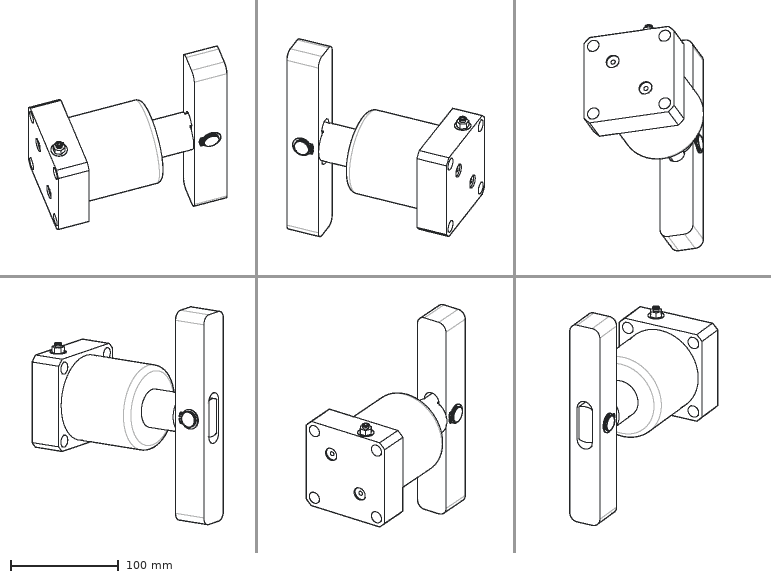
import cadquery as cq
import math


flange_width = 88.0
flange_depth = 30.0
flange_corner_diameter = 116.8
barrel_diameter = 80.0
barrel_end_y = 105.0
barrel_edge_radius = 5.0
mount_hole_diameter = 11.2
mount_hole_offset = 34.8
port_offset = 16.0
port_seat_diameter = 12.5
port_seat_depth = 1.5
port_hole_diameter = 4.0
port_hole_depth = 12.0
drill_point_angle = 118.0

valve_x = port_offset
valve_y = 10.0
valve_seat_diameter = 15.2
valve_seat_depth = 0.5
valve_hex_flats = 10.0
valve_hex_exposed = 5.0
valve_hex_bevel = 0.2
valve_neck_diameter = 5.5
valve_neck_height = 2.2
valve_head_diameter = 6.8
valve_head_height = 1.0
valve_head_bevel = 0.5
valve_bore_diameter = 3.5
valve_bore_depth = 2.0

arm_length = 200.0
arm_width = 32.0
arm_end_y = 174.0
arm_start_y = arm_end_y - arm_width
arm_corner_radius = 8.0
slot_width = 16.0
slot_length = 48.0

rod_diameter = 36.0
rod_shoulder_y = arm_start_y - 1.2
tongue_width = 14.5
tongue_end_y = arm_end_y - 2.0

pin_y = arm_end_y - arm_width / 2
pin_diameter = 15.0
pin_length = 37.5
pin_bevel = 0.5

clip_thickness = 1.0
clip_bore_diameter = 14.0
clip_outer_diameter = 18.5
clip_offset = 0.5
clip_ear_reach = 11.2
clip_ear_width = 10.8
clip_gap = 1.8
clip_eye_diameter = 1.8
clip_eye_reach = 8.8
clip_eye_spacing = 7.2
clip_inner_x = arm_width / 2


def y_cylinder(diameter, start_y, end_y, x=0.0, z=0.0):
    """Cylinder along +Y from start_y to end_y."""
    plane = cq.Plane(origin=(x, start_y, z), xDir=(1, 0, 0), normal=(0, 1, 0))
    return cq.Workplane(plane).circle(diameter / 2).extrude(end_y - start_y)


def x_cylinder(diameter, length, y):
    """Cylinder along X, centred on X = 0, with its axis at Z = 0."""
    return cq.Workplane("YZ").center(y, 0).circle(diameter / 2).extrude(length / 2, both=True)


def make_port(x, z):
    """Cutter for an oil port: shallow seal seat and a drilled hole with a conical bottom."""
    hole_radius = port_hole_diameter / 2
    point_depth = hole_radius / math.tan(math.radians(drill_point_angle / 2))
    hole_profile = [
        (0, 0),
        (hole_radius, 0),
        (hole_radius, port_hole_depth),
        (0, port_hole_depth + point_depth),
    ]
    hole = cq.Workplane("XY").polyline(hole_profile).close().revolve(360, (0, 0, 0), (0, 1, 0))
    seat = y_cylinder(port_seat_diameter, 0, port_seat_depth)
    return hole.union(seat).translate((x, 0, z))


def make_housing():
    """Square flange with turned corners, round barrel, mounting holes, ports and valve seat."""
    flange = cq.Workplane("XY").box(flange_width, flange_depth, flange_width)
    flange = flange.translate((0, flange_depth / 2, 0))
    flange = flange.intersect(y_cylinder(flange_corner_diameter, 0, flange_depth))

    barrel = y_cylinder(barrel_diameter, flange_depth, barrel_end_y)
    barrel = barrel.faces(">Y").edges().fillet(barrel_edge_radius)
    housing = flange.union(barrel)

    for x_side in (-1, 1):
        for z_side in (-1, 1):
            hole_x = x_side * mount_hole_offset
            hole_z = z_side * mount_hole_offset
            housing = housing.cut(y_cylinder(mount_hole_diameter, 0, flange_depth, hole_x, hole_z))

    for side in (-1, 1):
        housing = housing.cut(make_port(side * port_offset, -side * port_offset))

    valve_seat = (
        cq.Workplane("XY", origin=(valve_x, valve_y, flange_width / 2))
        .circle(valve_seat_diameter / 2)
        .extrude(-valve_seat_depth)
    )
    return housing.cut(valve_seat)


def make_bleed_valve():
    """Hexagonal valve standing on its seat, with a grooved, bored nipple."""
    hex_height = valve_seat_depth + valve_hex_exposed
    corner_diameter = valve_hex_flats / math.cos(math.pi / 6)
    hexagon = cq.Workplane("XY").polygon(6, corner_diameter).extrude(hex_height)
    bevel_width = (corner_diameter - valve_hex_flats) / 2
    bevelled_blank = cq.Workplane("XY").circle(corner_diameter / 2).extrude(hex_height)
    bevelled_blank = bevelled_blank.faces(">Z").edges().chamfer(valve_hex_bevel, bevel_width)
    hexagon = hexagon.intersect(bevelled_blank)

    nipple = (
        cq.Workplane("XY", origin=(0, 0, hex_height))
        .circle(valve_neck_diameter / 2)
        .extrude(valve_neck_height)
        .faces(">Z")
        .workplane()
        .circle(valve_head_diameter / 2)
        .extrude(valve_head_height)
    )
    nipple = nipple.faces(">Z").edges().chamfer(valve_head_bevel)
    valve = hexagon.union(nipple)
    valve = valve.faces(">Z").workplane(origin=(0, 0, 0)).hole(valve_bore_diameter, valve_bore_depth)
    return valve.translate((valve_x, valve_y, flange_width / 2 - valve_seat_depth))


def make_arm():
    """Cross arm with a central slot for the rod tongue and a hole for the pin."""
    arm = cq.Workplane("XY").box(arm_width, arm_width, arm_length)
    arm = arm.translate((0, pin_y, 0)).edges("|Y").fillet(arm_corner_radius)
    slot_plane = cq.Plane(origin=(0, arm_start_y, 0), xDir=(0, 0, 1), normal=(0, 1, 0))
    slot = cq.Workplane(slot_plane).slot2D(slot_length, slot_width).extrude(arm_width)
    return arm.cut(slot).cut(x_cylinder(pin_diameter, arm_width, pin_y))


def make_rod():
    """Round rod whose end is flattened on both sides into a tongue for the pin."""
    shaft = y_cylinder(rod_diameter, barrel_end_y, rod_shoulder_y)
    tongue_length = tongue_end_y - rod_shoulder_y
    tongue_slab = cq.Workplane("XY").box(tongue_width, tongue_length, rod_diameter)
    tongue_slab = tongue_slab.translate((0, rod_shoulder_y + tongue_length / 2, 0))
    tongue = y_cylinder(rod_diameter, rod_shoulder_y, tongue_end_y).intersect(tongue_slab)
    return shaft.union(tongue).cut(x_cylinder(pin_diameter, rod_diameter, pin_y))


def make_pin():
    """Pivot pin with bevelled ends and a circlip groove beside each side of the arm."""
    pin = x_cylinder(pin_diameter, pin_length, pin_y).faces("<X or >X").edges().chamfer(pin_bevel)
    for groove_x in (clip_inner_x, -clip_inner_x - clip_thickness):
        groove = (
            cq.Workplane("YZ", origin=(groove_x, pin_y, 0))
            .circle(pin_diameter / 2)
            .circle(clip_bore_diameter / 2)
            .extrude(clip_thickness)
        )
        pin = pin.cut(groove)
    return pin


def make_circlip(start_x):
    """Eccentric open ring whose two ears, each with an eye, point toward the housing."""
    plane = cq.Workplane("YZ", origin=(start_x, pin_y, 0))
    ring = plane.center(clip_offset, 0).circle(clip_outer_diameter / 2).extrude(clip_thickness)
    ears = plane.center(-clip_ear_reach / 2, 0).rect(clip_ear_reach, clip_ear_width).extrude(clip_thickness)
    ears = ears.intersect(plane.circle(clip_ear_reach).extrude(clip_thickness))
    gap = plane.center(-clip_ear_reach / 2, 0).rect(clip_ear_reach, clip_gap).extrude(clip_thickness)
    bore = plane.circle(clip_bore_diameter / 2).extrude(clip_thickness)
    eye_centres = [(-clip_eye_reach, side * clip_eye_spacing / 2) for side in (-1, 1)]
    eyes = plane.pushPoints(eye_centres).circle(clip_eye_diameter / 2).extrude(clip_thickness)
    return ring.union(ears).cut(bore).cut(gap).cut(eyes)


housing = make_housing()
bleed_valve = make_bleed_valve()
rod = make_rod()
arm = make_arm()
pin = make_pin()
circlips = [make_circlip(start_x) for start_x in (-clip_inner_x - clip_thickness, clip_inner_x)]

result = cq.Compound.makeCompound(
    [
        housing.val(),
        bleed_valve.val(),
        rod.val(),
        arm.val(),
        pin.val(),
        *[circlip.val() for circlip in circlips],
    ]
)